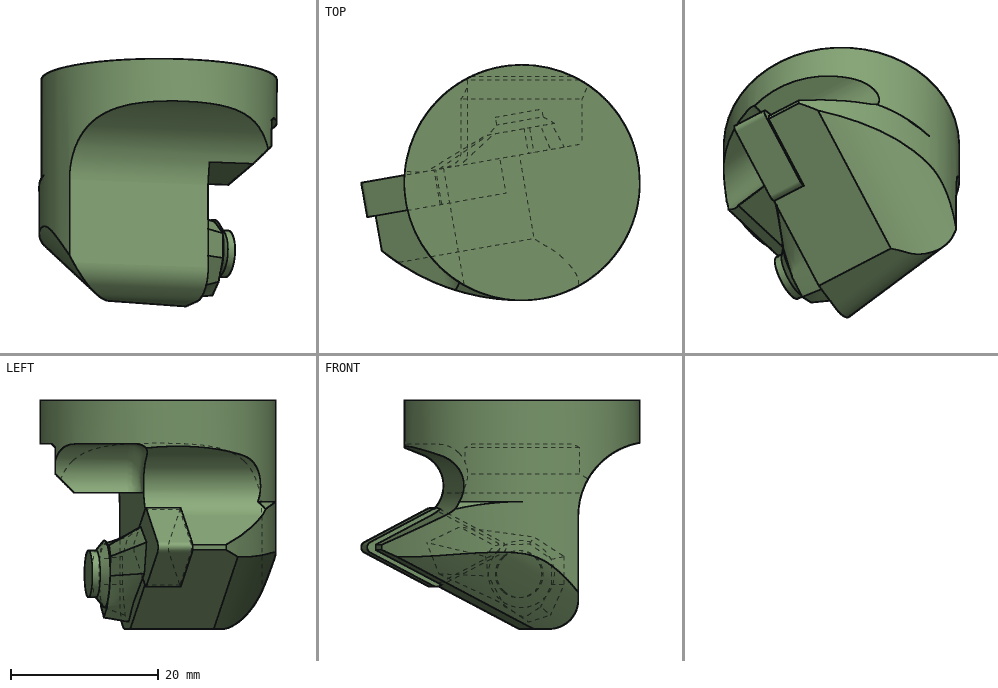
import cadquery as cq
import math


SHANK_RADIUS = 16.0
HEIGHT = 31.1
BACK_X = 7.65
BACK_ARC_RADIUS = 10.0
BACK_ARC_Z = -15.68
BOTTOM_CORNER_RADIUS = 4.0

RAKE_ANGLE = 10
RAKE_OFFSET = 3.8
TIP_Z = -20.0
HALF_ANGLE = 27.5

NOSE_APEX = -21.05
NOSE_FLAT = -20.37
NOSE_TOP_Z = -13.8
NOSE_ARC_RADIUS = 30.3
TOP_SLOPE_ANGLE = 40
LOWER_ROUND_RADIUS = 16.8
ROUND_START_DEPTH = 11.5
ROUND_END_DEPTH = 19.85
ROUND_END_RISE = 8.35

GROOVE_RADIUS = 4.45
GROOVE_Z = -11.63
GROOVE_ROOF_ANGLE = 22

CHIP_TOP_Z = -5.95
CHIP_ARC_RADIUS = 4.1
CHIP_ARC_X = -11.5
CHIP_FILLET = 1.912
LUG_BOTTOM_Z = -12.6
LUG_FACE_Y = 13.97
LUG_CHAMFER = 2.6
LUG_TOP_CHAMFER = 0.5

CLAMP_BASE = [
    (-7.95, -17.2), (-12.5, -19.3), (-10.83, -23.55), (-2.27, -27.5), (1.5, -30.1),
    (4.55, -29.15), (6.45, -25), (6.45, -21.2), (2.27, -18.55),
]
CLAMP_SHOULDER = [
    (-2.65, -19.7), (-3.8, -21.2), (-3.4, -23.85), (-1.15, -28.02), (1.5, -29.55),
    (3.8, -28.02), (5.3, -25), (5.3, -21.6), (2.27, -19.5),
]
CLAMP_SHOULDER_HEIGHT = 3.4
SCREW_CENTER = (1.15, -23.6)
SCREW_HEIGHT = 4.55
SEAT_RADIUS = 4.55
HEAD_RADIUS = 3.2
HEAD_HEIGHT = 1.05

INSERT_APEX = -22.45
INSERT_HALF_WIDTH = 5.45
INSERT_THICKNESS = 4.77
INSERT_CORNER_RADIUS = 0.8

REACH = 45.45

SIN_RAKE = math.sin(math.radians(RAKE_ANGLE))
COS_RAKE = math.cos(math.radians(RAKE_ANGLE))
SIN_HALF = math.sin(math.radians(HALF_ANGLE))
COS_HALF = math.cos(math.radians(HALF_ANGLE))
TAN_HALF = SIN_HALF / COS_HALF

GROOVE_FLOOR_Z = GROOVE_Z - GROOVE_RADIUS * COS_HALF
GROOVE_FLOOR_PLACE = NOSE_APEX + (GROOVE_FLOOR_Z - TIP_Z) / TAN_HALF


def rake_plane():
    """Workplane on the rake plane; extruding goes into the body."""
    return cq.Workplane(cq.Plane(
        origin=(-RAKE_OFFSET * SIN_RAKE, RAKE_OFFSET * COS_RAKE, 0),
        xDir=(COS_RAKE, SIN_RAKE, 0),
        normal=(SIN_RAKE, -COS_RAKE, 0),
    ))


def make_shank():
    """Round shank narrowed on +X by an arc, a flat and a rounded bottom corner."""
    arc_top_z = BACK_ARC_Z + math.sqrt(
        BACK_ARC_RADIUS**2 - (BACK_X + BACK_ARC_RADIUS - SHANK_RADIUS)**2)
    mid_shift = BACK_ARC_RADIUS * math.sqrt(0.5)
    profile = (
        cq.Workplane("XZ", origin=(0, REACH / 2, 0))
        .moveTo(-SHANK_RADIUS, 0)
        .lineTo(SHANK_RADIUS, 0)
        .lineTo(SHANK_RADIUS, arc_top_z)
        .threePointArc(
            (BACK_X + BACK_ARC_RADIUS - mid_shift, BACK_ARC_Z + mid_shift),
            (BACK_X, BACK_ARC_Z))
        .lineTo(BACK_X, BOTTOM_CORNER_RADIUS - HEIGHT)
        .radiusArc((BACK_X - BOTTOM_CORNER_RADIUS, -HEIGHT), BOTTOM_CORNER_RADIUS)
        .lineTo(-SHANK_RADIUS, -HEIGHT)
        .close()
        .extrude(REACH)
    )
    cylinder = cq.Workplane("XY").circle(SHANK_RADIUS).extrude(-HEIGHT)
    return cylinder.intersect(profile)


def make_nose():
    """Wedge behind the rake plane, bounded in plan by the large arc."""
    blunt = (NOSE_FLAT - NOSE_APEX) * TAN_HALF
    bottom_place = NOSE_APEX + (TIP_Z + HEIGHT) / TAN_HALF
    wedge = (
        rake_plane()
        .polyline([
            (NOSE_FLAT, TIP_Z + blunt),
            (GROOVE_FLOOR_PLACE, GROOVE_FLOOR_Z),
            (GROOVE_FLOOR_PLACE, NOSE_TOP_Z),
            (BACK_X, NOSE_TOP_Z),
            (BACK_X, -HEIGHT),
            (bottom_place, -HEIGHT),
            (NOSE_FLAT, TIP_Z - blunt),
        ])
        .close()
        .extrude(REACH)
    )
    plan = (
        cq.Workplane("XY")
        .center(0, NOSE_ARC_RADIUS - SHANK_RADIUS)
        .circle(NOSE_ARC_RADIUS)
        .extrude(-HEIGHT)
    )
    beside_axis = cq.Workplane("XY").box(
        REACH, REACH, HEIGHT, centered=(False, True, False)
    ).translate((-REACH, 0, -HEIGHT))
    return wedge.intersect(plan).intersect(beside_axis).intersect(nose_top_cone())


def nose_top_cone():
    """Cone that meets the shank at the nose top and widens downwards."""
    drop = HEIGHT + NOSE_TOP_Z
    foot_radius = SHANK_RADIUS + drop / math.tan(math.radians(TOP_SLOPE_ANGLE))
    return (
        cq.Workplane("XY", origin=(0, 0, -HEIGHT))
        .circle(foot_radius)
        .workplane(offset=drop)
        .circle(SHANK_RADIUS)
        .loft()
    )


def lower_flank_cut():
    """Everything below the lower flank and outside its round front edge."""
    section = cq.Plane(
        origin=rake_plane().plane.toWorldCoords((NOSE_APEX, TIP_Z, 0)),
        xDir=(SIN_RAKE, -COS_RAKE, 0),
        normal=(-COS_HALF * COS_RAKE, -COS_HALF * SIN_RAKE, SIN_HALF),
    )
    return (
        cq.Workplane(section)
        .moveTo(-REACH, 0)
        .lineTo(ROUND_START_DEPTH, 0)
        .radiusArc((ROUND_END_DEPTH, ROUND_END_RISE), -LOWER_ROUND_RADIUS)
        .lineTo(REACH, ROUND_END_RISE)
        .lineTo(REACH, -REACH)
        .lineTo(-REACH, -REACH)
        .close()
        .extrude(REACH, both=True)
    )


def groove_cut():
    """Relief groove: an arc with a tangent floor, which is the upper flank, and a tangent roof."""
    center_place = GROOVE_FLOOR_PLACE - GROOVE_RADIUS * SIN_HALF
    roof_angle = math.radians(GROOVE_ROOF_ANGLE)
    roof_place = center_place + GROOVE_RADIUS * math.sin(roof_angle)
    roof_z = GROOVE_Z + GROOVE_RADIUS * math.cos(roof_angle)
    return (
        rake_plane()
        .workplane(offset=-REACH)
        .moveTo(roof_place, roof_z)
        .threePointArc((center_place + GROOVE_RADIUS, GROOVE_Z), (GROOVE_FLOOR_PLACE, GROOVE_FLOOR_Z))
        .lineTo(-REACH, GROOVE_FLOOR_Z - (GROOVE_FLOOR_PLACE + REACH) * TAN_HALF)
        .lineTo(-REACH, roof_z + (roof_place + REACH) * math.tan(roof_angle))
        .close()
        .extrude(2 * REACH)
    )


def chip_space_cut():
    """Space in front of the rake plane that leaves a hollow-walled lug at the back."""
    in_front = (
        rake_plane()
        .rect(2 * REACH, 2 * REACH)
        .extrude(-REACH)
    )
    arc_z = CHIP_TOP_Z - CHIP_ARC_RADIUS
    hollow = (
        cq.Workplane("XZ", origin=(0, REACH, 0))
        .moveTo(-REACH, CHIP_TOP_Z)
        .lineTo(CHIP_ARC_X, CHIP_TOP_Z)
        .threePointArc(
            (CHIP_ARC_X + CHIP_ARC_RADIUS, arc_z),
            (CHIP_ARC_X, arc_z - CHIP_ARC_RADIUS))
        .lineTo(-REACH, arc_z - CHIP_ARC_RADIUS)
        .close()
        .extrude(2 * REACH)
        .intersect(in_front)
        .faces(cq.selectors.DirectionMinMaxSelector(cq.Vector(SIN_RAKE, -COS_RAKE, 0)))
        .edges("not(<X)")
        .fillet(CHIP_FILLET)
    )
    below = (
        rake_plane()
        .center(0, LUG_BOTTOM_Z)
        .rect(2 * REACH, -REACH, centered=(True, False))
        .extrude(-REACH)
    )
    return hollow.union(below).union(lug_side_cut())


def lug_side_cut():
    """Flat on the +Y side of the lug with a bevel above and a chamfer below."""
    return (
        cq.Workplane("YZ", origin=(-REACH, 0, 0))
        .polyline([
            (REACH, CHIP_TOP_Z),
            (LUG_FACE_Y + LUG_TOP_CHAMFER, CHIP_TOP_Z),
            (LUG_FACE_Y, CHIP_TOP_Z - LUG_TOP_CHAMFER),
            (LUG_FACE_Y, LUG_BOTTOM_Z + LUG_CHAMFER),
            (LUG_FACE_Y - LUG_CHAMFER, LUG_BOTTOM_Z),
            (REACH, LUG_BOTTOM_Z),
        ])
        .close()
        .extrude(2 * REACH)
    )


def make_clamp():
    """Faceted clamp that narrows away from the rake plane, with a round screw head."""
    block = (
        rake_plane()
        .polyline(CLAMP_BASE)
        .close()
        .workplane(offset=-CLAMP_SHOULDER_HEIGHT)
        .polyline(CLAMP_SHOULDER)
        .close()
        .loft(ruled=True)
    )
    seat = (
        rake_plane()
        .center(*SCREW_CENTER)
        .workplane(offset=-CLAMP_SHOULDER_HEIGHT)
        .circle(SEAT_RADIUS)
        .workplane(offset=CLAMP_SHOULDER_HEIGHT - SCREW_HEIGHT)
        .circle(HEAD_RADIUS)
        .loft(ruled=True)
    )
    head = (
        rake_plane()
        .center(*SCREW_CENTER)
        .workplane(offset=-SCREW_HEIGHT)
        .circle(HEAD_RADIUS)
        .extrude(-HEAD_HEIGHT)
    )
    return block.union(seat).union(head)


def make_insert():
    """Rhombic plate with rounded corners, its top face on the rake plane."""
    half_length = INSERT_HALF_WIDTH / TAN_HALF
    middle = INSERT_APEX + half_length
    return (
        rake_plane()
        .polyline([
            (INSERT_APEX, TIP_Z),
            (middle, TIP_Z + INSERT_HALF_WIDTH),
            (middle + half_length, TIP_Z),
            (middle, TIP_Z - INSERT_HALF_WIDTH),
        ])
        .close()
        .extrude(INSERT_THICKNESS)
        .edges(cq.selectors.ParallelDirSelector(cq.Vector(SIN_RAKE, -COS_RAKE, 0)))
        .fillet(INSERT_CORNER_RADIUS)
    )


insert = make_insert()
holder = (
    make_shank()
    .union(make_nose())
    .cut(lower_flank_cut())
    .cut(groove_cut())
    .cut(chip_space_cut())
    .union(make_clamp())
    .cut(insert)
)

result = cq.Compound.makeCompound([holder.val(), insert.val()])